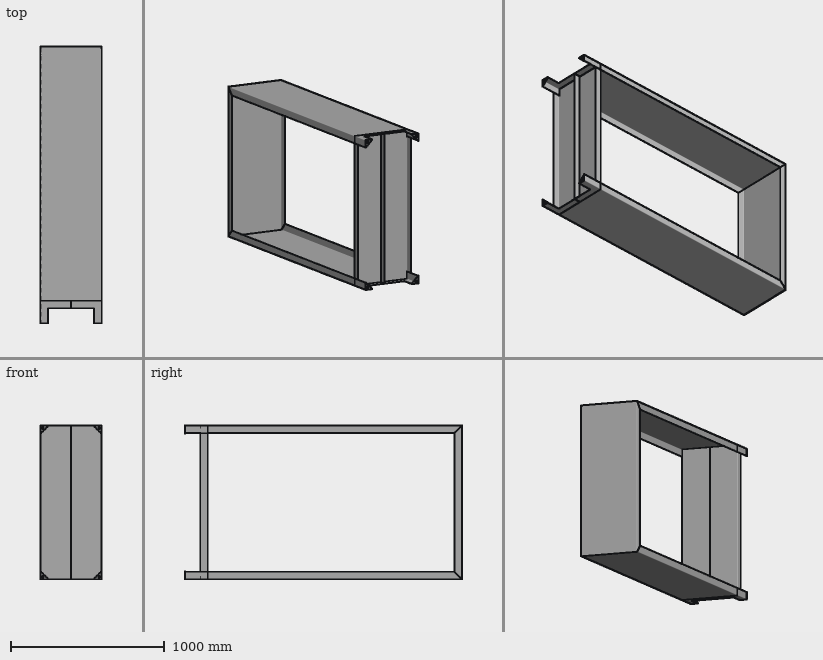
import cadquery as cq

WIDTH = 400.0
LENGTH = 1800.0
HEIGHT = 1000.0
SHEET = 2.5
BEND_INNER = 2.5
FLANGE = 50.0
DIVIDER_SETBACK = 150.0
HOLE_DIAMETER = 10.0
HOLE_INSET = 18.0

BEND_OUTER = BEND_INNER + SHEET
FRONT = -LENGTH / 2
BACK = LENGTH / 2
HALF_WIDTH = WIDTH / 2
HALF_HEIGHT = HEIGHT / 2
DIVIDER_BACK = FRONT + DIVIDER_SETBACK
DIVIDER_FRONT = DIVIDER_BACK - FLANGE
DIVIDER_WIDTH = HALF_WIDTH
DIVIDER_HEIGHT = HEIGHT - 2 * SHEET
PLATE_SIDE = HALF_WIDTH - SHEET
PLATE_TOP = HALF_HEIGHT - SHEET


def rounded_bar(width, depth, radius, length):
    """Bar along +Z, centred on X and Y, with its two +Y edges rounded."""
    return cq.Workplane("XY").rect(width, depth).extrude(length).edges("|Z and >Y").fillet(radius)


def channel(width, length):
    """Folded channel along +Z: web outside on Y = 0, flanges towards -Y, centred on X."""
    outer = rounded_bar(width, 2 * FLANGE, BEND_OUTER, length)
    inner = rounded_bar(width - 2 * SHEET, 2 * (FLANGE - SHEET), BEND_INNER, length)
    folded_half = cq.Workplane("XY").box(width, FLANGE, length, centered=(True, False, False))
    return outer.cut(inner).intersect(folded_half).translate((0, -FLANGE, 0))


def full_width_prism(points):
    """Prism across the full width from a (Y, Z) outline."""
    return cq.Workplane("YZ").polyline(points).close().extrude(HALF_WIDTH, both=True)


def make_top_rail():
    """Top rail: mitred at the back, with the web cut away between its two front legs."""
    rail = (
        channel(WIDTH, LENGTH)
        .rotate((0, 0, 0), (1, 0, 0), 90)
        .translate((0, BACK, HALF_HEIGHT))
    )
    mitre_waste = full_width_prism(
        [
            (BACK, HALF_HEIGHT),
            (BACK, HALF_HEIGHT - FLANGE),
            (BACK - FLANGE, HALF_HEIGHT - FLANGE),
        ]
    )
    leg_gap = (
        cq.Workplane("XY")
        .box(WIDTH - 2 * FLANGE, DIVIDER_FRONT - FRONT, HEIGHT, centered=(True, False, False))
        .translate((0, FRONT, 0))
    )
    return rail.cut(mitre_waste).cut(leg_gap)


def make_back_panel():
    """Upright back channel, mitred to the rails at both ends."""
    panel = channel(WIDTH, HEIGHT).translate((0, BACK, -HALF_HEIGHT))
    mitred_outline = full_width_prism(
        [
            (BACK, HALF_HEIGHT),
            (BACK, -HALF_HEIGHT),
            (BACK - FLANGE, FLANGE - HALF_HEIGHT),
            (BACK - FLANGE, HALF_HEIGHT - FLANGE),
        ]
    )
    return panel.intersect(mitred_outline)


def make_right_divider():
    """Right half of the divider: web and inner flange run between the rail webs,
    the outer flange is notched to stop between the rail flanges."""
    divider = channel(DIVIDER_WIDTH, DIVIDER_HEIGHT).translate(
        (DIVIDER_WIDTH / 2, DIVIDER_BACK, -DIVIDER_HEIGHT / 2)
    )
    for side in (1, -1):
        notch = cq.Workplane("XY").box(BEND_OUTER, FLANGE, FLANGE).translate(
            (
                HALF_WIDTH - BEND_OUTER / 2,
                DIVIDER_BACK - FLANGE / 2,
                side * (HALF_HEIGHT - FLANGE / 2),
            )
        )
        divider = divider.cut(notch)
    return divider


def make_end_plate():
    """Triangular plate with a hole, set flush inside the tip of the upper right leg."""
    return (
        cq.Workplane("XZ", origin=(0, FRONT, 0))
        .moveTo(PLATE_SIDE - FLANGE, PLATE_TOP)
        .lineTo(PLATE_SIDE - BEND_INNER, PLATE_TOP)
        .radiusArc((PLATE_SIDE, PLATE_TOP - BEND_INNER), BEND_INNER)
        .lineTo(PLATE_SIDE, PLATE_TOP - FLANGE)
        .close()
        .moveTo(HALF_WIDTH - HOLE_INSET, HALF_HEIGHT - HOLE_INSET)
        .circle(HOLE_DIAMETER / 2)
        .extrude(-SHEET)
    )


top_rail = make_top_rail()
rails = [top_rail, top_rail.mirror("XY")]
back_panel = make_back_panel()
right_divider = make_right_divider()
dividers = [right_divider, right_divider.mirror("YZ")]
end_plate = make_end_plate()
upper_plates = [end_plate, end_plate.mirror("YZ")]
end_plates = upper_plates + [plate.mirror("XY") for plate in upper_plates]

bodies = rails + [back_panel] + dividers + end_plates
result = cq.Compound.makeCompound([body.solids().val() for body in bodies])